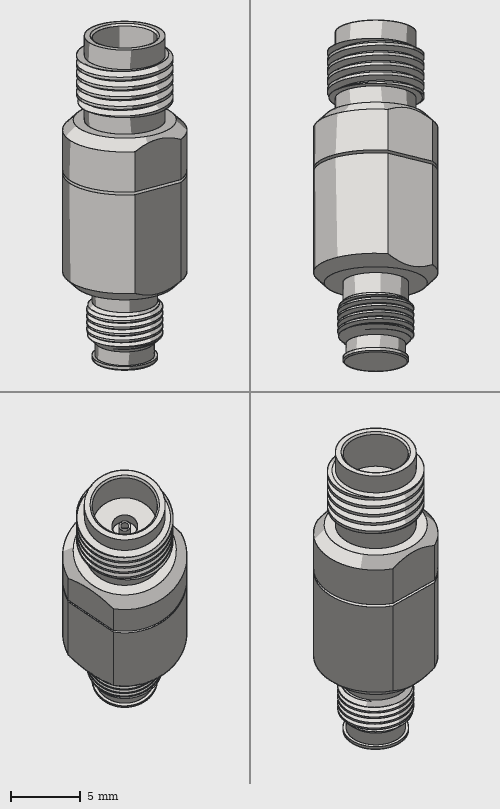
import cadquery as cq
import math

total_length = 25.0
flange_top = 0.32
small_thread_bottom = 1.38
small_thread_top = 4.5
body_bottom = 6.0
gap_bottom = 14.4
gap_top = 14.62
body_top = 18.5
large_thread_bottom = 20.0
large_thread_top = 23.5

body_radius = 4.5
body_chamfer = 0.78
flat_width = 8.0
gap_radius = 2.82

small_neck_radius = 2.38
small_tip_radius = 2.15
flange_radius = small_neck_radius
flange_chamfer = 0.1
small_thread_radius = 2.75
small_thread_pitch = 0.5
small_groove_height = 2.38

barrel_radius = 2.92
large_thread_radius = 3.5
large_thread_pitch = 0.75
large_groove_height = 20.65

bore_radius = 2.35
bore_depth = 3.0
bore_chamfer = 0.15
airline_radius = 0.92
airline_depth = 1.0
pin_radius = 0.42
contact_radius = 0.28
contact_depth = 0.75

flank_half_angle = math.radians(30)
crest_share = 0.3


def cylinder(radius, bottom, top):
    return cq.Workplane("XY").workplane(offset=bottom).circle(radius).extrude(top - bottom)


def cut_thread(blank, radius, pitch, groove_height, bottom, top):
    """Cut a right-hand V groove whose center line crosses the +Y side at groove_height."""
    half_mouth = pitch * (1 - crest_share) / 2
    root_radius = radius - half_mouth / math.tan(flank_half_angle)
    clearance = 0.1 * pitch
    outer_half_mouth = half_mouth + clearance * math.tan(flank_half_angle)

    helix = cq.Wire.makeHelix(pitch, pitch, radius)
    groove_turn = (
        cq.Workplane("XZ")
        .moveTo(root_radius, 0)
        .lineTo(radius + clearance, outer_half_mouth)
        .lineTo(radius + clearance, -outer_half_mouth)
        .close()
        .sweep(cq.Workplane(helix), isFrenet=True)
        .rotate((0, 0, 0), (0, 0, 1), 90)
    )

    first_turn = math.floor((bottom - groove_height) / pitch) - 1
    last_turn = math.ceil((top - groove_height) / pitch)
    thread = blank
    for turn in range(first_turn, last_turn + 1):
        thread = thread.cut(groove_turn.translate((0, 0, groove_height + turn * pitch)))
    return thread


def make_body():
    body = cylinder(body_radius, body_bottom, body_top).faces("<Z or >Z").chamfer(body_chamfer)
    flats = cq.Workplane("XY").box(flat_width, 2 * body_radius, 2 * total_length)
    gap = cylinder(2 * body_radius, gap_bottom, gap_top).cut(cylinder(gap_radius, gap_bottom, gap_top))
    return body.intersect(flats).cut(gap)


def make_small_end():
    neck = cylinder(small_neck_radius, small_thread_top, body_bottom)
    tip = cylinder(small_tip_radius, 0, small_thread_bottom)
    flange = cylinder(flange_radius, 0, flange_top).faces("<Z").chamfer(flange_chamfer)
    thread = (
        cylinder(small_thread_radius, small_thread_bottom, small_thread_top)
        .faces("<Z").chamfer(small_thread_radius - small_tip_radius)
        .faces(">Z").chamfer(small_thread_radius - small_neck_radius)
    )
    thread = cut_thread(
        thread, small_thread_radius, small_thread_pitch, small_groove_height,
        small_thread_bottom, small_thread_top,
    )
    return neck.union(tip).union(flange).union(thread)


def make_large_end():
    barrel = cylinder(barrel_radius, body_top, total_length)
    thread = cut_thread(
        cylinder(large_thread_radius, large_thread_bottom, large_thread_top),
        large_thread_radius, large_thread_pitch, large_groove_height,
        large_thread_bottom, large_thread_top,
    )
    return barrel.union(thread)


def make_socket():
    bore_floor = total_length - bore_depth
    bore = cylinder(bore_radius, bore_floor, total_length)
    mouth = cq.Workplane("XY").add(
        cq.Solid.makeCone(
            bore_radius, bore_radius + bore_chamfer, bore_chamfer,
            cq.Vector(0, 0, total_length - bore_chamfer),
        )
    )
    airline = cylinder(airline_radius, bore_floor - airline_depth, bore_floor)
    pin = cylinder(pin_radius, bore_floor - airline_depth, bore_floor)
    contact = cylinder(contact_radius, bore_floor - contact_depth, bore_floor)
    return bore.union(mouth).union(airline.cut(pin)).union(contact)


result = make_body().union(make_small_end()).union(make_large_end()).cut(make_socket())